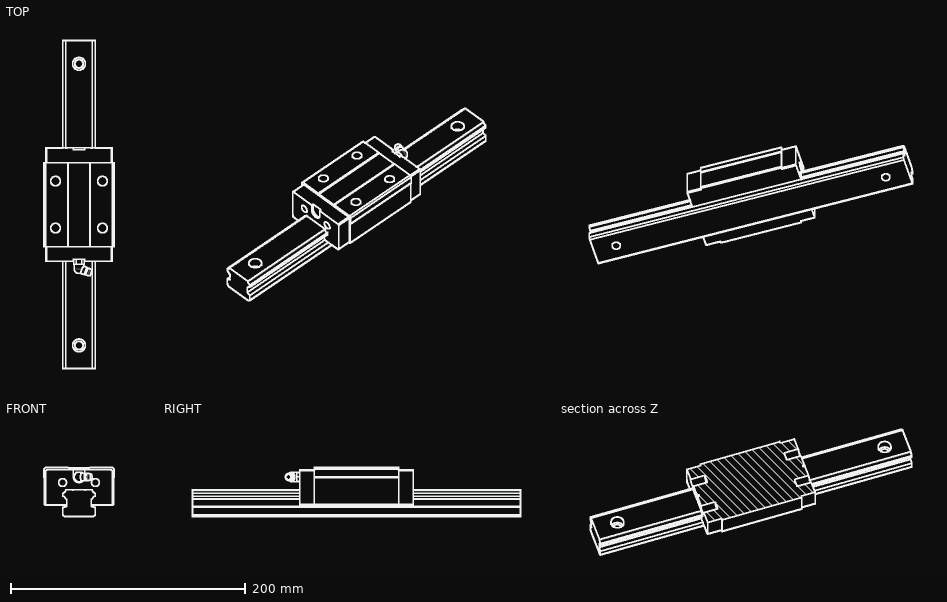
import cadquery as cq
import math

rail_length = 280.0
rail_half_width = 14.0
rail_height = 23.0
rail_neck_half_width = 10.5
rail_top_half_width = 11.5
rail_base_chamfer = 1.7
ledge_outer_z = 7.8
ledge_inner_z = 9.0
neck_top_z = 14.8
head_bottom_z = 17.5
head_top_z = 20.2
top_lip_z = 22.0
lower_raceway_bottom_z = 15.5
lower_raceway_mid = (12.3, 16.8)
upper_raceway_mid = (12.3, 20.7)

rail_hole_spacing = 240.2
rail_bore_diameter = 7.0
rail_counterbore_diameter = 11.0
rail_counterbore_depth = 9.0

carriage_bottom_z = 9.8
carriage_top_z = 42.0
block_length = 71.7
block_half_width = 30.0
block_top_chamfer = 1.5
bottom_chamfer = 0.8
side_step = 0.3
side_step_top_z = 34.0
side_step_bottom_z = 33.0

strip_half_width = 9.8
strip_floor_half_width = 9.0
strip_depth = 0.3

mount_hole_pitch = 40.0
mount_hole_diameter = 8.0
mount_hole_depth = 10.0
drill_point_angle = 118.0

cap_thickness = 12.5
cap_half_width = 28.3
cap_top_z = 40.0
cap_chamfer = 0.8
cap_hole_spacing = 28.0
cap_hole_diameter = 6.7
cap_hole_z = 29.0
cap_face_y = block_length / 2 + cap_thickness

pocket_width = 9.5
pocket_depth = 1.7
nipple_z = 34.0

hex_across_corners = 9.2
hex_length = 4.2
collar_length = 3.5
elbow_radius = 4.2
spout_angle = 20.0
spout_base_radius = 3.5
spout_base_end = 6.0
spout_groove_radius = 2.2
spout_groove_end = 7.0
spout_head_radius = 3.0
spout_head_end = 8.7
spout_tip_radius = 2.5
spout_length = 11.0


def mirrored_prism(right_side, length):
    """Extrude a profile symmetric about x = 0 along Y, centred on y = 0."""
    left_side = [(-x, z) for x, z in reversed(right_side)]
    outline = cq.Workplane("XZ").polyline(right_side + left_side).close()
    return outline.extrude(length / 2, both=True)


def rail_bar():
    """Plain rail bar: sloped ledges below the neck, two concave raceways on each side of the head."""
    right_half = (
        cq.Workplane("XZ")
        .moveTo(0, 0)
        .lineTo(rail_half_width - rail_base_chamfer, 0)
        .lineTo(rail_half_width, rail_base_chamfer)
        .lineTo(rail_half_width, ledge_outer_z)
        .lineTo(rail_neck_half_width, ledge_inner_z)
        .lineTo(rail_neck_half_width, neck_top_z)
        .lineTo(rail_top_half_width, lower_raceway_bottom_z)
        .threePointArc(lower_raceway_mid, (rail_half_width, head_bottom_z))
        .lineTo(rail_half_width, head_top_z)
        .threePointArc(upper_raceway_mid, (rail_top_half_width, top_lip_z))
        .lineTo(rail_top_half_width, rail_height)
        .lineTo(0, rail_height)
        .close()
        .extrude(rail_length / 2, both=True)
    )
    return right_half.union(right_half.mirror("YZ"))


def make_rail():
    """Rail with a counterbored screw hole near each end."""
    hole_points = [(0, -rail_hole_spacing / 2), (0, rail_hole_spacing / 2)]
    return (
        rail_bar()
        .faces(">Z")
        .workplane(origin=(0, 0, rail_height))
        .pushPoints(hole_points)
        .cboreHole(rail_bore_diameter, rail_counterbore_diameter, rail_counterbore_depth)
    )


def steel_block():
    """Middle of the carriage: chamfered top, stepped sides and a recessed centre strip."""
    lower_half_width = block_half_width - side_step
    strip_floor_z = carriage_top_z - strip_depth
    right_side = [
        (lower_half_width - bottom_chamfer, carriage_bottom_z),
        (lower_half_width, carriage_bottom_z + bottom_chamfer),
        (lower_half_width, side_step_bottom_z),
        (block_half_width, side_step_top_z),
        (block_half_width, carriage_top_z - block_top_chamfer),
        (block_half_width - block_top_chamfer, carriage_top_z),
        (strip_half_width, carriage_top_z),
        (strip_floor_half_width, strip_floor_z),
    ]
    return mirrored_prism(right_side, block_length)


def mount_hole(x, y):
    """Blind drilled hole in the block top, ending in a drill point."""
    radius = mount_hole_diameter / 2
    point_depth = radius / math.tan(math.radians(drill_point_angle / 2))
    return (
        cq.Workplane("XZ", origin=(x, y, carriage_top_z))
        .moveTo(0, 0)
        .lineTo(radius, 0)
        .lineTo(radius, -mount_hole_depth)
        .lineTo(0, -mount_hole_depth - point_depth)
        .close()
        .revolve(360, (0, 0, 0), (0, 1, 0))
    )


def end_caps():
    """One bar with both end caps at its ends; its middle lies inside the block."""
    right_side = [
        (cap_half_width - cap_chamfer, carriage_bottom_z),
        (cap_half_width, carriage_bottom_z + cap_chamfer),
        (cap_half_width, cap_top_z - cap_chamfer),
        (cap_half_width - cap_chamfer, cap_top_z),
    ]
    return mirrored_prism(right_side, 2 * cap_face_y)


def cap_cuts():
    """Round holes and nipple pocket of the cap at the -Y end."""
    cap_face = cq.Workplane("XZ", origin=(0, -cap_face_y, 0))
    hole_points = [(-cap_hole_spacing / 2, cap_hole_z), (cap_hole_spacing / 2, cap_hole_z)]
    holes = cap_face.pushPoints(hole_points).circle(cap_hole_diameter / 2).extrude(-cap_thickness)
    half = pocket_width / 2
    pocket = (
        cap_face
        .moveTo(-half, carriage_top_z)
        .lineTo(-half, nipple_z)
        .threePointArc((0, nipple_z - half), (half, nipple_z))
        .lineTo(half, carriage_top_z)
        .close()
        .extrude(-pocket_depth)
    )
    return holes.union(pocket)


def make_carriage():
    """Block and end caps in one body, cut to fit around the rail."""
    carriage = steel_block().union(end_caps())
    for x in (-mount_hole_pitch / 2, mount_hole_pitch / 2):
        for y in (-mount_hole_pitch / 2, mount_hole_pitch / 2):
            carriage = carriage.cut(mount_hole(x, y))
    front_cuts = cap_cuts()
    carriage = carriage.cut(front_cuts).cut(front_cuts.mirror("XZ"))
    return carriage.cut(rail_bar())


def make_nipple():
    """Elbow grease nipple: hexagon, collar, ball elbow and a stepped sideways spout."""
    seat_y = -cap_face_y + pocket_depth
    elbow_y = seat_y - hex_length - collar_length
    hexagon = (
        cq.Workplane("XZ", origin=(0, seat_y, nipple_z))
        .polygon(6, hex_across_corners)
        .extrude(hex_length)
    )
    collar = (
        cq.Workplane("XZ", origin=(0, seat_y - hex_length, nipple_z))
        .circle(elbow_radius)
        .extrude(collar_length)
    )
    elbow = cq.Workplane("XY", origin=(0, elbow_y, nipple_z)).sphere(elbow_radius)
    spout = (
        cq.Workplane("XY")
        .polyline([
            (0, 0),
            (0, spout_base_radius),
            (spout_base_end, spout_base_radius),
            (spout_base_end, spout_groove_radius),
            (spout_groove_end, spout_groove_radius),
            (spout_groove_end, spout_head_radius),
            (spout_head_end, spout_head_radius),
            (spout_length, spout_tip_radius),
            (spout_length, 0),
        ])
        .close()
        .revolve(360, (0, 0, 0), (1, 0, 0))
        .rotate((0, 0, 0), (0, 0, 1), -spout_angle)
        .translate((0, elbow_y, nipple_z))
    )
    return hexagon.union(collar).union(elbow).union(spout)


rail = make_rail().solids().val()
carriage = make_carriage().solids().val()
nipple = make_nipple().solids().val()

result = cq.Compound.makeCompound([rail, carriage, nipple])